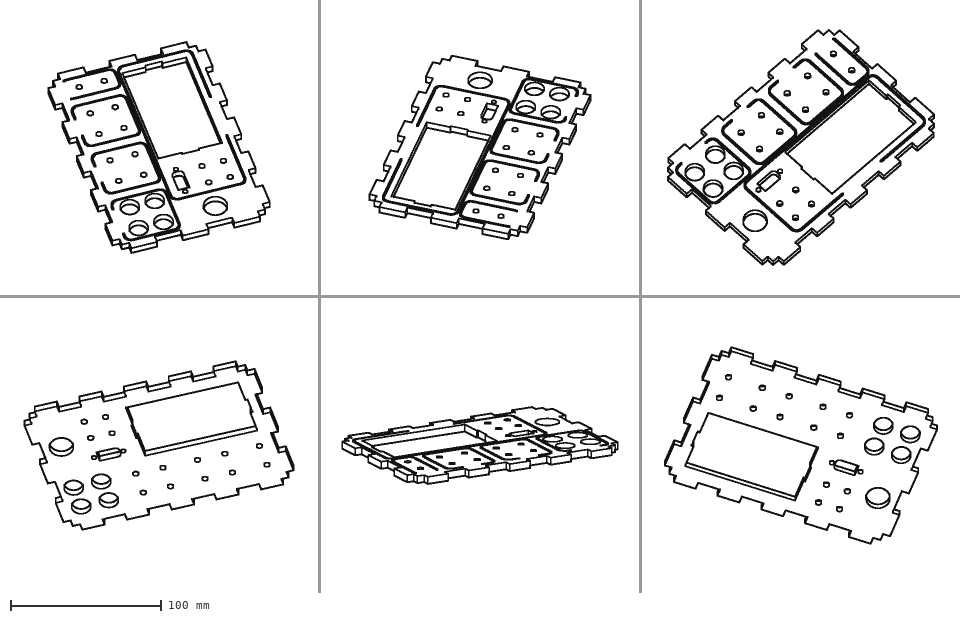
import cadquery as cq
import math

length = 160
width = 110.0
thickness = 5.0

finger_length = thickness
finger_margin = 10.0
fingers_along_x = 5
fingers_along_y = 3

window_left, window_right = 12.8, 90.9
window_rear, window_front = 14.4, 59.0
notch_left, notch_right = 11.2, 92.0
notch_rear, notch_front = 30.9, 42.5

terminal_diameter = 3.8
output_columns = (106.0, 121.0)
output_rows = (18.4, 33.5)
lower_rows = (72.6, 90.0)
lower_columns = (15.5, 39.5, 58.5, 82.5, 101.5)

switch_diameter = 16
switch_place = (142.0, 35.5)
fuse_diameter = 12.8
fuse_columns = (125.5, 144.6)

connector_left, connector_right = 105.8, 121.1
connector_rear, connector_front = 46.9, 54.7
connector_radius = 2.7
screw_diameter = 3.0
screw_columns = (103.5, 123.8)

groove_width = 1.0
groove_depth = 1.0
frame_radius = 4.5
main_rear, main_front = 9.5, 61.1
main_left, main_right = 7.0, 128.8
main_gap = (50.2, 85.8)
lower_rear, lower_front = 63.2, 101.1
narrow_left, narrow_right = main_left, 24
narrow_corner_sweep = 20
wide_frames = (
    (30.7, 67.0, (41.3, 56.6)),
    (74.2, 110.4, (84.3, 99.7)),
    (117.0, 153.3, (123.5, 146.4)),
)


def at(right, down):
    """Panel coordinates of a place measured from the left and rear edges."""
    return (right - length / 2, width / 2 - down)


def block(left, right, rear, front):
    """Full-thickness box between two places across and two places down the panel."""
    centre = at((left + right) / 2, (rear + front) / 2)
    return (
        cq.Workplane("XY", origin=(*centre, 0))
        .rect(right - left, front - rear)
        .extrude(thickness)
    )


def round_holes(diameter, columns, rows):
    """Through holes at every crossing of the columns and rows."""
    places = [at(column, row) for column in columns for row in rows]
    return cq.Workplane("XY").pushPoints(places).circle(diameter / 2).extrude(thickness)


def finger_spans(side, count):
    """Start and end of each finger; fingers and gaps along a side are equal."""
    pitch = (side - 2 * finger_margin) / (2 * count - 1)
    starts = [finger_margin + 2 * i * pitch for i in range(count)]
    return [(start, start + pitch) for start in starts]


def panel():
    """Plate with fingers on all four sides."""
    plate = block(finger_length, length - finger_length, finger_length, width - finger_length)
    for start, end in finger_spans(length, fingers_along_x):
        plate = plate.union(block(start, end, 0, width))
    for start, end in finger_spans(width, fingers_along_y):
        plate = plate.union(block(0, length, start, end))
    return plate


def connector_opening():
    """Rectangular opening rounded at its two left corners."""
    opening = block(connector_left, connector_right, connector_rear, connector_front)
    return opening.edges("|Z and <X").fillet(connector_radius)


def frame_groove(left, right, closed_side, open_side, gap=None, corner_sweep=90):
    """Groove with round ends along a rounded rectangle, given by its centre line.

    The gap is the pair of places across the panel where the groove stops on its open side.
    Without a gap the groove stops part way round the two open corners, after corner_sweep degrees.
    """
    inward = math.copysign(frame_radius, closed_side - open_side)

    def corner_point(side, sweep):
        """Point on an open corner, swept from the straight left or right side."""
        toward_middle = frame_radius if side == left else -frame_radius
        angle = math.radians(sweep)
        return at(
            side + toward_middle * (1 - math.cos(angle)),
            open_side + inward * (1 - math.sin(angle)),
        )

    def closed_corner_middle(side):
        """Midpoint of a corner on the closed side."""
        inset = frame_radius * (1 - math.sqrt(0.5))
        across = inset if side == left else -inset
        return at(side + across, closed_side - math.copysign(inset, inward))

    path = cq.Workplane("XY", origin=(0, 0, thickness - groove_depth))
    if gap:
        path = path.moveTo(*at(gap[0], open_side)).lineTo(*corner_point(left, corner_sweep))
    else:
        path = path.moveTo(*corner_point(left, corner_sweep))
    path = (
        path.threePointArc(corner_point(left, corner_sweep / 2), corner_point(left, 0))
        .lineTo(*at(left, closed_side - inward))
        .threePointArc(closed_corner_middle(left), at(left + frame_radius, closed_side))
        .lineTo(*at(right - frame_radius, closed_side))
        .threePointArc(closed_corner_middle(right), at(right, closed_side - inward))
        .lineTo(*corner_point(right, 0))
        .threePointArc(corner_point(right, corner_sweep / 2), corner_point(right, corner_sweep))
    )
    if gap:
        path = path.lineTo(*at(gap[1], open_side))
    return path.offset2D(groove_width / 2).extrude(groove_depth)


result = panel()

result = result.cut(block(window_left, window_right, window_rear, window_front))
result = result.cut(block(notch_left, notch_right, notch_rear, notch_front))
result = result.cut(round_holes(terminal_diameter, output_columns, output_rows))
result = result.cut(round_holes(terminal_diameter, lower_columns, lower_rows))
result = result.cut(round_holes(fuse_diameter, fuse_columns, lower_rows))
result = result.cut(round_holes(switch_diameter, switch_place[:1], switch_place[1:]))
result = result.cut(connector_opening())
screw_row = (connector_rear + connector_front) / 2
result = result.cut(round_holes(screw_diameter, screw_columns, [screw_row]))

result = result.cut(frame_groove(main_left, main_right, main_front, main_rear, main_gap))

result = result.cut(
    frame_groove(
        narrow_left, narrow_right, lower_rear, lower_front, corner_sweep=narrow_corner_sweep
    )
)
for left, right, gap in wide_frames:
    result = result.cut(frame_groove(left, right, lower_rear, lower_front, gap))